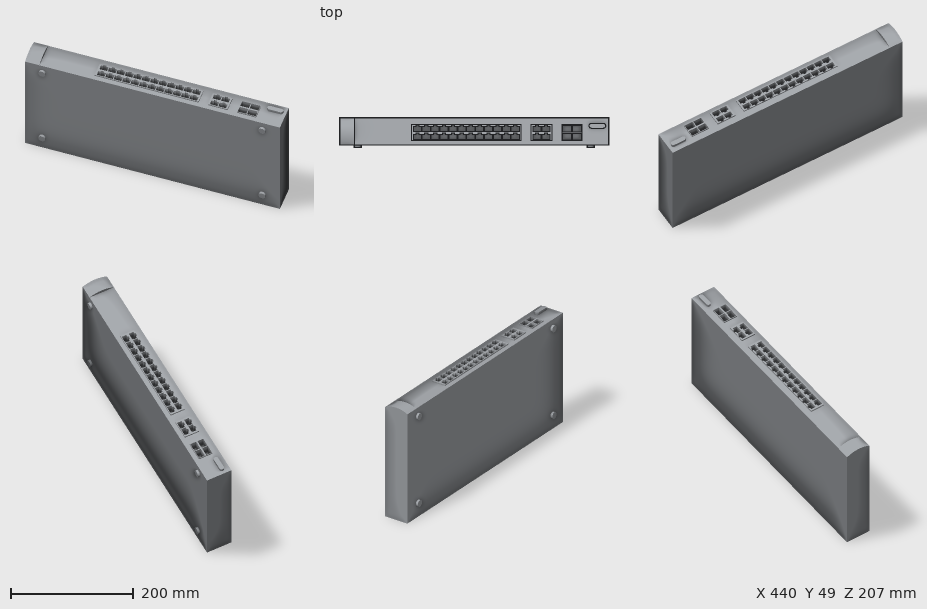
import cadquery as cq


width = 440.0
total_thickness = 49.0
total_depth = 207.0
foot_height = 4.0
crown_height = 5.5
thickness = total_thickness - foot_height
panel_z = total_depth - crown_height

crown_width = 24.5

foot_diameter = 12.0
foot_x_inset = 30.0
foot_z_low = 25.5
foot_z_high = 185.2

block_height = 25.5
block_y = 8.0
block_raise = 2.0
port_depth = 17.5

jack_pitch = 14.5
jack_width = 13.0
jack_height = 8.5
jack_row_pitch = 13.0
jack_bottom_margin = 1.5
jack_side_margin = 3.0
latch_width = 5.5
latch_height = 2.0
main_block_x = 117.5
main_columns = 12
small_block_x = 313.0
small_columns = 2

cage_block_x = 363.0
cage_block_width = 33.0
cage_columns = 2
cage_wall = 1.0
cage_column_rib = 1.5
cage_row_rib = 2.5

bar_length = 27.5
bar_height = 8.0
bar_raise = 5.0
bar_center_x = 421.0
bar_center_y = 31.5

rows = 2


def block(x, y, z, size_x, size_y, size_z):
    """Box with its lowest corner at (x, y, z)."""
    return cq.Workplane("XY").box(size_x, size_y, size_z, centered=False).translate((x, y, z))


def raised_block(x, size_x):
    """Port block standing on the panel, sunk into the housing to the depth of its ports."""
    return block(x, block_y, panel_z + block_raise - port_depth, size_x, block_height, port_depth)


def pocket(x, y, size_x, size_y):
    """Rectangular port opening cut down from the face of a port block."""
    return block(x, y, panel_z + block_raise - port_depth, size_x, size_y, port_depth)


def make_crown():
    """Cap with an arched top that spans the housing thickness."""
    return (
        cq.Workplane("YZ")
        .moveTo(0, panel_z)
        .threePointArc((thickness / 2, total_depth), (thickness, panel_z))
        .close()
        .extrude(crown_width)
    )


def make_feet():
    """Four round feet on the underside."""
    centers = [
        (x, z)
        for x in (foot_x_inset, width - foot_x_inset)
        for z in (foot_z_low, foot_z_high)
    ]
    return cq.Workplane("XZ").pushPoints(centers).circle(foot_diameter / 2).extrude(foot_height)


def make_bar():
    """Round-ended bar standing on the panel."""
    return (
        cq.Workplane("XY", origin=(bar_center_x, bar_center_y, panel_z))
        .slot2D(bar_length, bar_height)
        .extrude(bar_raise)
    )


def add_jack_block(body, block_x, columns):
    """Add a block with two rows of jacks, each with a latch notch above its opening."""
    block_width = (columns - 1) * jack_pitch + jack_width + 2 * jack_side_margin
    body = body.union(raised_block(block_x, block_width))
    for column in range(columns):
        jack_x = block_x + jack_side_margin + column * jack_pitch
        latch_x = jack_x + (jack_width - latch_width) / 2
        for row in range(rows):
            jack_y = block_y + jack_bottom_margin + row * jack_row_pitch
            body = body.cut(pocket(jack_x, jack_y, jack_width, jack_height))
            body = body.cut(pocket(latch_x, jack_y, latch_width, jack_height + latch_height))
    return body


def add_cage_block(body):
    """Add the block of transceiver cages, a two by two grid of plain openings."""
    cage_width = (cage_block_width - 2 * cage_wall - cage_column_rib) / cage_columns
    cage_height = (block_height - 2 * cage_wall - cage_row_rib) / rows
    body = body.union(raised_block(cage_block_x, cage_block_width))
    for column in range(cage_columns):
        cage_x = cage_block_x + cage_wall + column * (cage_width + cage_column_rib)
        for row in range(rows):
            cage_y = block_y + cage_wall + row * (cage_height + cage_row_rib)
            body = body.cut(pocket(cage_x, cage_y, cage_width, cage_height))
    return body


housing = block(0, 0, 0, width, thickness, panel_z)
housing = housing.union(make_crown()).union(make_feet()).union(make_bar())
housing = add_jack_block(housing, main_block_x, main_columns)
housing = add_jack_block(housing, small_block_x, small_columns)
result = add_cage_block(housing)